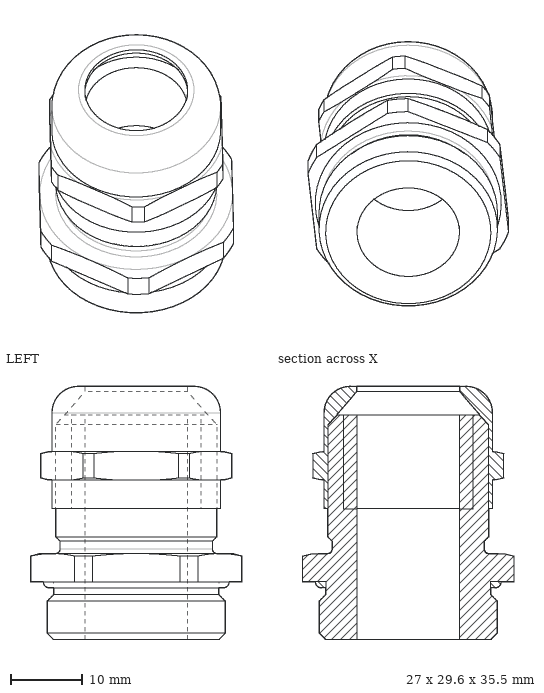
import cadquery as cq
import math


bore_radius = 7.15

connecting_thread_chamfer = 0.92
connecting_thread_top = 5.4
ring_bottom = 7.25
body_hex_bottom = 8.1
body_hex_top = 12.05
cap_thread_bottom = 14.4
cap_bottom = 18.35
cap_hex_bottom = 22.35
cap_hex_top = 26.32
body_top = 31.45
cap_top = 35.47

connecting_thread_radius = 12.5
connecting_relief_radius = 11.55
cap_thread_radius = 11.28
cap_relief_radius = 10.68
body_hex_flats = 27.0
body_hex_corners = 29.6
connecting_relief_run = connecting_thread_radius - connecting_relief_radius
cap_relief_run = cap_thread_radius - cap_relief_radius

ring_radius = 13.0
ring_height = body_hex_bottom - ring_bottom

seal_radius = 9.05
seal_bottom = cap_bottom

cap_radius = 11.8
cap_rounding = 3.72
cap_hex_flats = 24.0
cap_hex_corners = 26.78
cap_chamfer_circle_radius = 12.35
lip_radius = 7.2
lip_height = 0.75

cone_top = cap_top - lip_height
body_top_radius = 10.07
cone_slope = (cone_top - body_top) / (body_top_radius - lip_radius)
cone_bottom = cone_top - cone_slope * (cap_thread_radius - lip_radius)

hex_chamfer_slope = math.tan(math.radians(15))


def revolve_about_z(profile):
    """Turn a closed (radius, height) profile about the Z axis."""
    return profile.close().revolve(360, (0, 0, 0), (0, 1, 0))


def tube(outer_radius, inner_radius, bottom, top):
    """Plain hollow cylinder."""
    base = cq.Workplane("XY").workplane(offset=bottom)
    return base.circle(outer_radius).circle(inner_radius).extrude(top - bottom)


def hexagon(flats, corners, bottom, top, chamfer_circle_radius, chamfer_bottom):
    """Hexagon with flats facing +X and -X, turned corners and conical end chamfers."""
    height = top - bottom
    corner_radius = corners / 2
    chamfer_run = corner_radius - chamfer_circle_radius
    chamfer_height = chamfer_run * hex_chamfer_slope
    base = cq.Workplane("XY").workplane(offset=bottom)

    prism = base.polygon(6, flats, circumscribed=True).extrude(height)
    blank = base.circle(corner_radius).extrude(height)
    blank = blank.faces(">Z").chamfer(chamfer_height, chamfer_run)
    if chamfer_bottom:
        blank = blank.faces("<Z").chamfer(chamfer_height, chamfer_run)
    return prism.intersect(blank)


def make_body():
    """Threaded body with its hexagon, thread reliefs and recess for the seal."""
    shank_profile = (
        cq.Workplane("XZ")
        .moveTo(bore_radius, 0)
        .lineTo(connecting_thread_radius - connecting_thread_chamfer, 0)
        .lineTo(connecting_thread_radius, connecting_thread_chamfer)
        .lineTo(connecting_thread_radius, connecting_thread_top)
        .lineTo(connecting_relief_radius, connecting_thread_top + connecting_relief_run)
        .lineTo(connecting_relief_radius, body_hex_top)
        .lineTo(cap_thread_radius, body_hex_top)
        .radiusArc((cap_relief_radius, body_hex_top + cap_relief_run), cap_relief_run)
        .lineTo(cap_relief_radius, cap_thread_bottom - cap_relief_run)
        .lineTo(cap_thread_radius, cap_thread_bottom)
        .lineTo(cap_thread_radius, cone_bottom)
        .lineTo(body_top_radius, body_top)
        .lineTo(seal_radius, body_top)
        .lineTo(seal_radius, seal_bottom)
        .lineTo(bore_radius, seal_bottom)
    )
    hex_collar = hexagon(
        body_hex_flats, body_hex_corners, body_hex_bottom, body_hex_top,
        chamfer_circle_radius=body_hex_flats / 2, chamfer_bottom=False,
    )
    bore = cq.Workplane("XY").workplane(offset=body_hex_bottom).circle(bore_radius)
    hex_collar = hex_collar.cut(bore.extrude(body_hex_top - body_hex_bottom))
    return revolve_about_z(shank_profile).union(hex_collar)


def make_ring():
    """Sealing ring below the body hexagon, its outside rounded inwards over the full height."""
    profile = (
        cq.Workplane("XZ")
        .moveTo(connecting_relief_radius, body_hex_bottom)
        .lineTo(ring_radius, body_hex_bottom)
        .radiusArc((ring_radius - ring_height, ring_bottom), ring_height)
        .lineTo(connecting_relief_radius, ring_bottom)
    )
    return revolve_about_z(profile)


def make_seal():
    """Sealing insert in the recess of the body."""
    return tube(seal_radius, bore_radius, seal_bottom, body_top)


def make_cap():
    """Domed cap nut with a hexagon around its waist."""
    shell = cq.Workplane("XY").workplane(offset=cap_bottom).circle(cap_radius)
    shell = shell.extrude(cap_top - cap_bottom).faces(">Z").edges().fillet(cap_rounding)
    waist = hexagon(
        cap_hex_flats, cap_hex_corners, cap_hex_bottom, cap_hex_top,
        cap_chamfer_circle_radius, chamfer_bottom=True,
    )
    inside_profile = (
        cq.Workplane("XZ")
        .moveTo(0, cap_bottom)
        .lineTo(cap_thread_radius, cap_bottom)
        .lineTo(cap_thread_radius, cone_bottom)
        .lineTo(lip_radius, cone_top)
        .lineTo(lip_radius, cap_top)
        .lineTo(0, cap_top)
    )
    return shell.union(waist).cut(revolve_about_z(inside_profile))


body = make_body()
ring = make_ring()
seal = make_seal()
cap = make_cap()

result = cq.Compound.makeCompound(
    [body.solids().val(), ring.solids().val(), seal.solids().val(), cap.solids().val()]
)